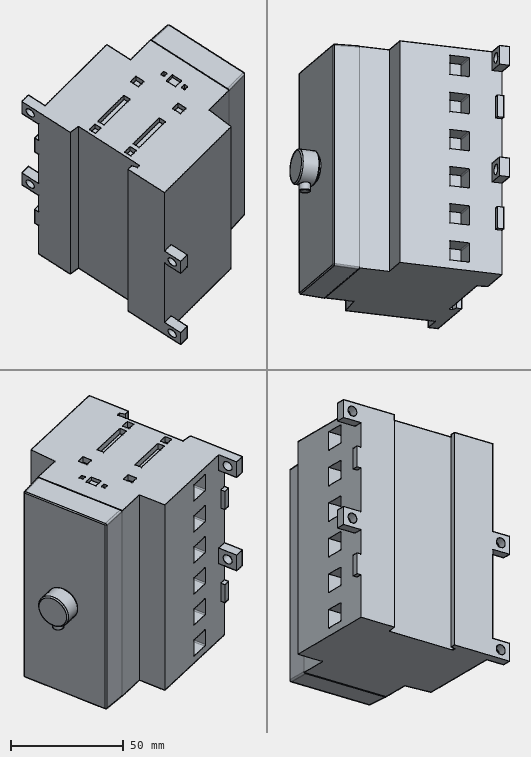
import cadquery as cq


housing_height = 104.4
housing_width = 72.2
shoulder_depth = 48.7
shoulder_low_depth = 47.6
neck_width = 45.0
neck_depth = 62.9

rail_depth = 4.9
rail_left_mouth = -17.9
rail_left_floor = -17.2
rail_lip_tip = 15.2
rail_right_floor = 17.8
rail_lip_thickness = 2.6
rail_lip_root = 3.5

cover_height = 105.2
cover_depth = 12.2
cover_draft = 2.0
cover_corner_radius = 0.8
cover_front_chamfer = 0.5

knob_radius = 8.0
knob_front = 84.9
knob_length = 8.7
knob_chamfer = 0.6
shaft_radius = 6.0
pointer_radius = 2.6
pointer_reach = 11.2
pointer_chamfer = 0.3

ear_height = 8.8
ear_thickness = 4.7
ear_pitch = 52.5
ear_left_end = -45.7
ear_right_end = 45.4
ear_hole_diameter = 4.7
ear_hole_inset = 4.8

clip_height = 10.2
clip_reach = 2.2
clip_thickness = 3.0
clip_spacing = 52.5

window_count = 6
window_pitch = 17.5
window_height = 9.0
window_back = 15.6
window_front = 24.9
window_depth = 10.5
window_corner_radius = 0.5

socket_depth = 1.9
pocket_depth = 3.0
top_pockets = [
    (0.0, 51.7, 5.3, 4.3, socket_depth),
    (-5.9, 51.9, 1.9, 2.1, pocket_depth),
    (5.9, 51.9, 1.9, 2.1, pocket_depth),
    (-12.5, 41.0, 4.5, 3.9, pocket_depth),
    (11.6, 41.0, 4.5, 3.9, pocket_depth),
    (-10.5, 22.0, 3.5, 18.6, pocket_depth),
    (9.7, 22.0, 3.5, 18.6, pocket_depth),
    (-10.5, 8.6, 3.5, 3.9, pocket_depth),
    (9.7, 8.6, 3.5, 3.9, pocket_depth),
]

housing_side = housing_width / 2
housing_top = housing_height / 2
neck_side = neck_width / 2
cover_front = neck_depth + cover_depth


def box(x_range, y_range, z_range):
    """Block spanning the given ranges along X, Y and Z."""
    spans = (x_range, y_range, z_range)
    sizes = [max(span) - min(span) for span in spans]
    corner = tuple(min(span) for span in spans)
    return cq.Workplane("XY").box(*sizes, centered=False).translate(corner)


def facing_front(depth):
    """Sketch plane at the given Y, with X to the left and its normal along +Y."""
    plane = cq.Plane(origin=(0, depth, 0), xDir=(-1, 0, 0), normal=(0, 1, 0))
    return cq.Workplane(plane)


def make_housing():
    outline = [
        (-housing_side, 0),
        (rail_left_mouth, 0),
        (rail_left_floor, rail_depth),
        (rail_right_floor, rail_depth),
        (rail_right_floor, rail_lip_root),
        (rail_lip_tip, rail_lip_thickness),
        (rail_lip_tip, 0),
        (housing_side, 0),
        (housing_side, shoulder_low_depth),
        (neck_side, shoulder_depth),
        (neck_side, neck_depth),
        (-neck_side, neck_depth),
        (-neck_side, shoulder_depth),
        (-housing_side, shoulder_depth),
    ]
    return cq.Workplane("XY").polyline(outline).close().extrude(housing_top, both=True)


def make_cover():
    """Drafted cover with rounded corners and a chamfered front rim."""
    cover = facing_front(neck_depth).rect(neck_width, cover_height).extrude(cover_depth, taper=cover_draft)
    cover = cover.edges("not #Y").fillet(cover_corner_radius)
    return cover.faces(">Y").chamfer(cover_front_chamfer)


def make_knob():
    knob_back = knob_front - knob_length
    shaft = facing_front(cover_front).circle(shaft_radius).extrude(knob_back - cover_front)
    grip = facing_front(knob_back).circle(knob_radius).extrude(knob_length)
    grip = grip.faces("<Y or >Y").chamfer(knob_chamfer)
    pointer_plane = cq.Workplane("XY", origin=(0, knob_back + knob_length / 2, -pointer_reach))
    pointer = pointer_plane.circle(pointer_radius).extrude(pointer_reach)
    pointer = pointer.faces("<Z").chamfer(pointer_chamfer)
    return shaft.union(grip).union(pointer)


def make_ear(side, end, centre_z):
    """Ear from the housing side out to the given end, with a screw hole along Y."""
    half = ear_height / 2
    ear = box((side, end), (0, ear_thickness), (centre_z - half, centre_z + half))
    inward = 1 if side > end else -1
    hole = facing_front(0).circle(ear_hole_diameter / 2).extrude(ear_thickness)
    return ear.cut(hole.translate((end + inward * ear_hole_inset, 0, centre_z)))


def make_clip(centre_z):
    x_range = (-housing_side - clip_reach, -housing_side)
    z_range = (centre_z - clip_height / 2, centre_z + clip_height / 2)
    return box(x_range, (0, clip_thickness), z_range)


def make_window(centre_z):
    """Cutter for one terminal window, rounded at its two corners toward the mounting face."""
    x_range = (-housing_side, -housing_side + window_depth)
    z_range = (centre_z - window_height / 2, centre_z + window_height / 2)
    window = box(x_range, (window_back, window_front), z_range)
    return window.faces("<Y").edges("|X").fillet(window_corner_radius)


result = make_housing().union(make_cover()).union(make_knob())

ear_end_z = housing_top - ear_height / 2
for step in range(2):
    ear_z = ear_end_z - step * ear_pitch
    result = result.union(make_ear(-housing_side, ear_left_end, ear_z))
    result = result.union(make_ear(housing_side, ear_right_end, -ear_z))

for clip_z in (-clip_spacing / 2, clip_spacing / 2):
    result = result.union(make_clip(clip_z))

for index in range(window_count):
    window_z = (index - (window_count - 1) / 2) * window_pitch
    result = result.cut(make_window(window_z))

for centre_x, centre_y, width, length, depth in top_pockets:
    pocket_plane = cq.Workplane("XY", origin=(centre_x, centre_y, housing_top))
    result = result.cut(pocket_plane.rect(width, length).extrude(-depth))